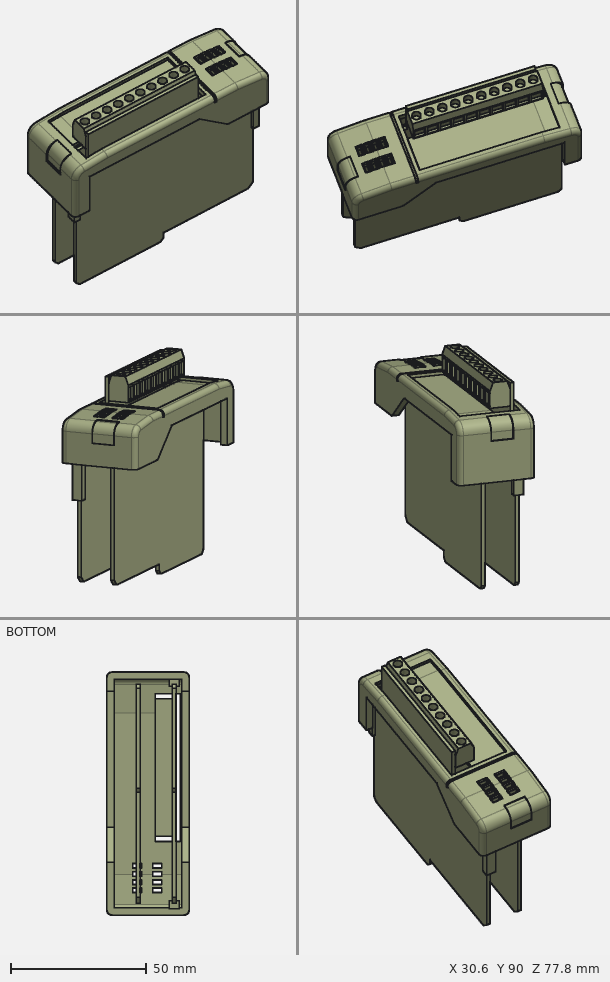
import cadquery as cq
import math


housing_width = 30.55
housing_length = 90.0
half_length = housing_length / 2
crown_z = 67.45
leg_bottom_z = 42.4
rear_bottom_z = 49.8
wall = 2.75
edge_radius = 2.0
flat_end_y = 30.0
rear_slope = math.radians(6.0)
front_slope = math.radians(4.9)
rear_corner_radius = 4.2
front_corner_radius = 4.8

side_cut_top_z = 60.3
side_cut_front_y = -37.9
side_cut_rear_y = 12.5
side_cut_ramp_y = 25.4

tray_left_x, tray_right_x = -11.8, 11.9
tray_front_y, tray_rear_y = -37.1, 17.7
tray_depth = 1.3
tray_floor_bend_y = -31.5
slot_left_x = 2.7
slot_front_ledge = 0.2
slot_front_y = tray_front_y + slot_front_ledge

groove_width = 0.9
groove_y = 19.9
groove_depth = 0.6

clip_width = 8.8
front_clip_depth = 0.65
rear_clip_depth = 0.25
clip_start_y = 40.0
clip_bottom_z = 58.4
front_clip_x = 2.2
rear_clip_x = -1.85

window_columns_x = (-3.95, 3.45)
window_rows = 4
window_pitch = 3.03
window_first_y = 26.69
window_size_x, window_size_y = 4.27, 2.56
window_bevel = 0.5
window_bevel_angle = 45

board_thickness = 1.5
board_half_length = 40.5
board_step_y = -0.45
board_rear_bottom_z = 4.0
rear_chamfer = 2.2
front_chamfer = 1.5
logic_board_x = -3.68
logic_board_top_z = 54.4
terminal_board_x = 9.7
shoulder_z = 61.0
raised_top_z = 76.95
raised_front_y, raised_rear_y = -35.0, 15.4

rail_width = 3.85
rail_bottom_z = 35.6
rail_inner_y = 39.7
rear_rail_outer_y = 42.5
front_rail_outer_y = 42.25

terminal_count = 10
terminal_pitch = 5.08
block_length = 50.9
block_centre_y = -9.68
block_width = 8.0
block_bottom_z = 68.0
block_top_z = 77.81
block_bevel_x, block_bevel_z = 1.2, 3.2
screw_hole_diameter = 3.35
screw_hole_depth = 3.5
wire_pocket_width = 4.15
wire_pocket_bottom_z, wire_pocket_top_z = 68.6, 73.7
wire_pocket_depth = 1.0


def box(x0, x1, y0, y1, z0, z1):
    return cq.Workplane("XY").box(x1 - x0, y1 - y0, z1 - z0, centered=False).translate((x0, y0, z0))


def extrude_side(points, centre_x, thickness):
    """Extrude an outline of (y, z) points along X, centred on centre_x."""
    outline = cq.Workplane("YZ", origin=(centre_x, 0, 0)).polyline(points).close()
    return outline.extrude(thickness / 2, both=True)


def envelope(inset, bottom_z, width):
    """Housing shape with sloped roof ends and rounded end corners, inset from the outer faces."""
    rear_drop = (half_length - flat_end_y) * math.tan(rear_slope)
    front_drop = (half_length - flat_end_y) * math.tan(front_slope)
    points = [
        (-half_length, bottom_z - inset),
        (-half_length, crown_z - front_drop),
        (-flat_end_y, crown_z),
        (flat_end_y, crown_z),
        (half_length, crown_z - rear_drop),
        (half_length, bottom_z - inset),
    ]
    outline = cq.Workplane("YZ").polyline(points).close()
    if inset:
        outline = outline.offset2D(-inset, "intersection")
    body = outline.extrude(width / 2, both=True)
    rear_corner = cq.selectors.NearestToPointSelector((0, half_length, crown_z - rear_drop))
    front_corner = cq.selectors.NearestToPointSelector((0, -half_length, crown_z - front_drop))
    body = body.edges("|X").edges(rear_corner).fillet(rear_corner_radius - inset)
    return body.edges("|X").edges(front_corner).fillet(front_corner_radius - inset)


def side_cut():
    below = leg_bottom_z - wall
    beyond = half_length + wall
    points = [
        (beyond, rear_bottom_z),
        (side_cut_ramp_y, rear_bottom_z),
        (side_cut_rear_y, side_cut_top_z),
        (side_cut_front_y, side_cut_top_z),
        (side_cut_front_y, below),
        (beyond, below),
    ]
    return extrude_side(points, 0, 2 * housing_width)


def tray_cut():
    floor_z = crown_z - tray_depth
    front_floor_z = floor_z - (tray_floor_bend_y - tray_front_y) * math.tan(front_slope)
    points = [
        (tray_rear_y, crown_z),
        (tray_rear_y, floor_z),
        (tray_floor_bend_y, floor_z),
        (tray_front_y, front_floor_z),
        (tray_front_y, crown_z),
    ]
    centre_x = (tray_left_x + tray_right_x) / 2
    recess = extrude_side(points, centre_x, tray_right_x - tray_left_x)
    slot = box(slot_left_x, tray_right_x, slot_front_y, tray_rear_y, shoulder_z, crown_z)
    return recess.union(slot)


def groove_cut():
    """Groove across the roof that follows the rounded side edges."""
    half_groove = groove_width / 2
    rim = box(-housing_width, housing_width, groove_y - half_groove, groove_y + half_groove,
              crown_z - edge_radius - groove_depth, crown_z)
    core_half_width = housing_width / 2 - groove_depth
    core = box(-core_half_width, core_half_width, groove_y - groove_width, groove_y + groove_width,
               side_cut_top_z, crown_z - groove_depth).edges("|Y and >Z").fillet(edge_radius)
    return rim.cut(core)


def clip_cut(end, centre_x, floor_shape):
    """Label recess over the corner at one end (end = 1 for +Y, -1 for -Y), down to floor_shape."""
    near_y, far_y = sorted((end * clip_start_y, end * half_length))
    half = clip_width / 2
    zone = box(centre_x - half, centre_x + half, near_y, far_y, clip_bottom_z, crown_z)
    return zone.cut(floor_shape)


def front_clip_cut():
    floor_shape = envelope(0, leg_bottom_z, housing_width).translate((0, front_clip_depth, 0))
    return clip_cut(-1, front_clip_x, floor_shape)


def rear_clip_cut():
    return clip_cut(1, rear_clip_x, envelope(rear_clip_depth, leg_bottom_z, housing_width))


def window_cut(x, y):
    """Window through the roof with a bevel around its mouth."""
    top_z = crown_z
    if y > flat_end_y:
        top_z -= (y - flat_end_y) * math.tan(rear_slope)
    bevel = cq.Workplane("XY", origin=(x, y, top_z)).rect(window_size_x, window_size_y)
    bevel = bevel.extrude(-window_bevel, taper=window_bevel_angle)
    mouth = box(x - window_size_x / 2, x + window_size_x / 2,
                y - window_size_y / 2, y + window_size_y / 2, top_z, top_z + wall)
    half_x = window_size_x / 2 - window_bevel
    half_y = window_size_y / 2 - window_bevel
    shaft = box(x - half_x, x + half_x, y - half_y, y + half_y, shoulder_z, top_z)
    return bevel.union(mouth).union(shaft)


def rail(end, outer_y):
    """Vertical guide rail for the terminal board at one end of the housing."""
    near_y, far_y = sorted((end * rail_inner_y, end * outer_y))
    half = rail_width / 2
    return box(terminal_board_x - half, terminal_board_x + half, near_y, far_y, rail_bottom_z, shoulder_z)


def make_housing(board):
    body = envelope(0, leg_bottom_z, housing_width)
    body = body.faces("<X or >X").edges("not <Z").fillet(edge_radius)
    body = body.cut(envelope(wall, leg_bottom_z - wall, housing_width - 2 * wall))
    body = body.cut(side_cut())
    body = body.cut(tray_cut())
    body = body.cut(groove_cut())
    body = body.cut(front_clip_cut())
    body = body.cut(rear_clip_cut())
    for x in window_columns_x:
        for row in range(window_rows):
            body = body.cut(window_cut(x, window_first_y + row * window_pitch))
    body = body.union(rail(1, rear_rail_outer_y)).union(rail(-1, front_rail_outer_y))
    return body.cut(board)


def board_blank(centre_x, top_z):
    """Circuit board whose lower edge steps down on the -Y half, with chamfered corners."""
    points = [
        (board_half_length, top_z),
        (board_half_length, board_rear_bottom_z + rear_chamfer),
        (board_half_length - rear_chamfer, board_rear_bottom_z),
        (board_step_y, board_rear_bottom_z),
        (board_step_y, front_chamfer),
        (board_step_y - front_chamfer, 0),
        (front_chamfer - board_half_length, 0),
        (-board_half_length, front_chamfer),
        (-board_half_length, top_z),
    ]
    return extrude_side(points, centre_x, board_thickness)


def make_terminal_block():
    right_x = terminal_board_x - board_thickness / 2
    left_x = right_x - block_width
    front_y = block_centre_y - block_length / 2
    profile = [
        (left_x, block_bottom_z),
        (left_x, block_top_z - block_bevel_z),
        (left_x + block_bevel_x, block_top_z),
        (right_x - block_bevel_x, block_top_z),
        (right_x, block_top_z - block_bevel_z),
        (right_x, block_bottom_z),
    ]
    block = cq.Workplane("XZ", origin=(0, front_y, 0)).polyline(profile).close().extrude(-block_length)
    for index in range(terminal_count):
        y = block_centre_y + (index - (terminal_count - 1) / 2) * terminal_pitch
        hole = cq.Workplane("XY", origin=((left_x + right_x) / 2, y, block_top_z))
        block = block.cut(hole.circle(screw_hole_diameter / 2).extrude(-screw_hole_depth))
        half = wire_pocket_width / 2
        block = block.cut(box(left_x, left_x + wire_pocket_depth, y - half, y + half,
                              wire_pocket_bottom_z, wire_pocket_top_z))
    return block


def make_terminal_board():
    """Board with a raised middle that carries the terminal block."""
    half = board_thickness / 2
    raised = box(terminal_board_x - half, terminal_board_x + half,
                 raised_front_y, raised_rear_y, shoulder_z, raised_top_z)
    board = board_blank(terminal_board_x, shoulder_z).union(raised)
    return board.union(make_terminal_block())


logic_board = board_blank(logic_board_x, logic_board_top_z)
terminal_board = make_terminal_board()
housing = make_housing(terminal_board)

result = cq.Compound.makeCompound([housing.val(), logic_board.val(), terminal_board.val()])